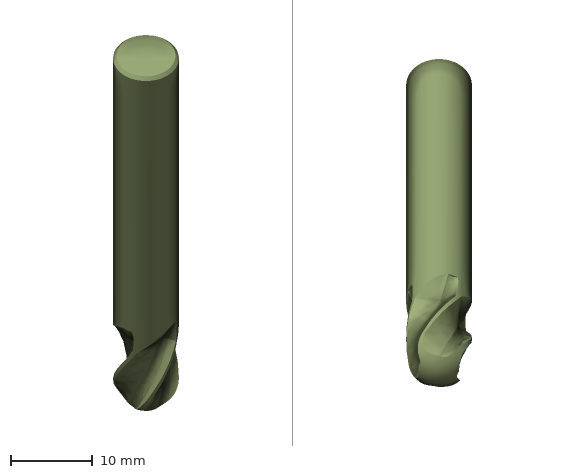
import cadquery as cq
import math

TOTAL_LENGTH = 59.0
DIAMETER = 8.0
CUTTING_LENGTH = 12.0
SHANK_CHAMFER = 0.4
FLUTE_COUNT = 4
HELIX_ANGLE = 30.0
RUNOUT_LENGTH = 3.4
RUNOUT_TURN = 20.0
RUNOUT_DRIFT = 0.25

EDGE_ANGLE = 9.0
LAND_ANGLE = 8.0
CORE_RADIUS = 2.3
FLOOR_X = -0.9
FLOOR_Y = -2.25
RAKE_FOOT_X = 0.4
RAKE_FOOT_Y = -2.95
ROOT_X = -0.3

RADIUS = DIAMETER / 2
OVERCUT = 1.4
TWIST = math.degrees(CUTTING_LENGTH * math.tan(math.radians(HELIX_ANGLE)) / RADIUS)
FLUTE_PITCH = 360 / FLUTE_COUNT
HEEL_ANGLE = EDGE_ANGLE + LAND_ANGLE - FLUTE_PITCH


def rim_point(angle):
    """Point on the outer circle at an angle measured from -Y toward +X."""
    return (RADIUS * math.sin(math.radians(angle)), -RADIUS * math.cos(math.radians(angle)))


def extend(start, through):
    """Point beyond 'through' on the line from 'start'."""
    return tuple(a + OVERCUT * (b - a) for a, b in zip(start, through))


def flute_section(height):
    """Closed outline of the material removed by one flute."""
    floor = (FLOOR_X, FLOOR_Y)
    root = (ROOT_X, -math.sqrt(CORE_RADIUS**2 - ROOT_X**2))
    rake_foot = (RAKE_FOOT_X, RAKE_FOOT_Y)
    heel_end = extend(floor, rim_point(HEEL_ANGLE))
    rake_end = extend(rake_foot, rim_point(EDGE_ANGLE))
    outside = OVERCUT * RADIUS
    return (
        cq.Workplane("XY", origin=(0, 0, height))
        .moveTo(*heel_end)
        .lineTo(*floor)
        .threePointArc(root, rake_foot)
        .lineTo(*rake_end)
        .lineTo(rake_end[0], -outside)
        .lineTo(heel_end[0], -outside)
        .close()
    )


def cut_flutes(body, flute):
    """Remove evenly spaced copies of one flute from a body."""
    for index in range(FLUTE_COUNT):
        body = body.cut(flute.rotate((0, 0, 0), (0, 0, 1), index * FLUTE_PITCH))
    return body


def make_cutting_head():
    """Ball-nosed head with helical flutes."""
    blank = (
        cq.Workplane("XZ")
        .lineTo(0, CUTTING_LENGTH)
        .lineTo(RADIUS, CUTTING_LENGTH)
        .lineTo(RADIUS, RADIUS)
        .radiusArc((0, 0), RADIUS)
        .close()
        .revolve(360, (0, 0), (0, 1))
    )
    flute = (
        flute_section(0)
        .twistExtrude(CUTTING_LENGTH, TWIST)
        .rotate((0, 0, 0), (0, 0, 1), -TWIST)
    )
    return cut_flutes(blank, flute)


def make_shank():
    """Plain shank whose lower end carries the rising flute runouts."""
    shank = (
        cq.Workplane("XY", origin=(0, 0, CUTTING_LENGTH))
        .circle(RADIUS)
        .extrude(TOTAL_LENGTH - CUTTING_LENGTH)
        .faces(">Z")
        .chamfer(SHANK_CHAMFER)
    )
    lower = flute_section(CUTTING_LENGTH).val()
    pivot = (FLOOR_X, FLOOR_Y)
    upper = lower.rotate((*pivot, 0), (*pivot, 1), RUNOUT_TURN)
    upper = upper.translate(cq.Vector(RUNOUT_DRIFT, CORE_RADIUS - RADIUS, RUNOUT_LENGTH))
    runout = cq.Workplane(cq.Solid.makeLoft([lower, upper], True))
    return cut_flutes(shank, runout)


cutting_head = make_cutting_head()
shank = make_shank()
result = cq.Compound.makeCompound([cutting_head.solids().val(), shank.solids().val()])